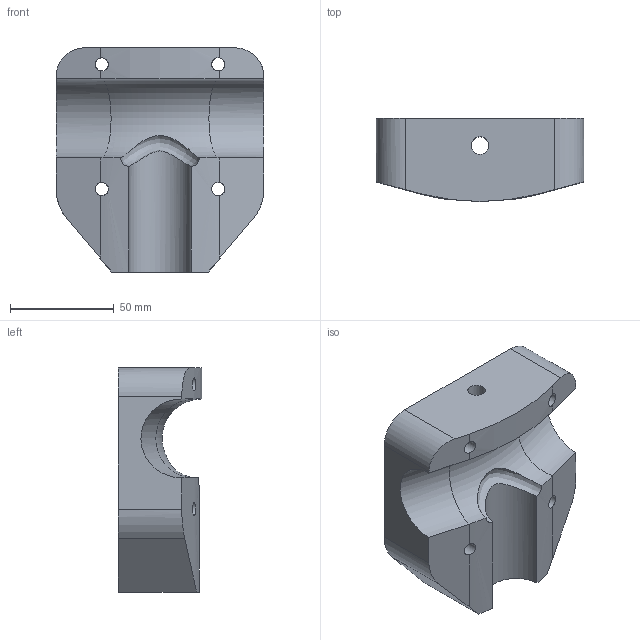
import math

import cadquery as cq

WIDTH = 100.0
DEPTH = 40.0
HEIGHT = 108.0

BEND_RADIUS = 110.0
BEND_ANGLE = math.radians(15.0)

TOP_CORNER_RADIUS = 14.0
LOWER_CORNER_Z = 32.0
LOWER_TAPER_ANGLE = math.radians(40.0)
LOWER_CORNER_RADIUS = 22.0

CROSS_BORE_RADIUS = 19.0
CROSS_BORE_Z = 74.0

BRANCH_BORE_RADIUS = 15.0

GROOVE_RADIUS = 4.0
GROOVE_OVERRUN = math.radians(25.0)
GROOVE_POINTS = 17

BOLT_DIAMETER = 6.3
BOLT_SPACING_X = 56.0
BOLT_SPACING_Z = 60.0
BOLT_CENTRE_Z = 70.0

VERTICAL_HOLE_DIAMETER = 8.5
VERTICAL_HOLE_Y = -13.0

HALF_WIDTH = WIDTH / 2
BEND_CENTRE_Y = BEND_RADIUS - DEPTH
BEND_END_X = BEND_RADIUS * math.sin(BEND_ANGLE)
BEND_END_Y = BEND_CENTRE_Y - BEND_RADIUS * math.cos(BEND_ANGLE)
BOTTOM_HALF_WIDTH = HALF_WIDTH - LOWER_CORNER_Z * math.tan(LOWER_TAPER_ANGLE)


def flat_y(x):
    """Y of the sloped front flat at a distance x from the middle."""
    return BEND_END_Y + (x - BEND_END_X) * math.tan(BEND_ANGLE)


def make_block():
    """Block with the curved front face, trimmed to the rounded and tapered outline."""
    side_y = flat_y(HALF_WIDTH)
    plan = (
        cq.Workplane("XY")
        .moveTo(-HALF_WIDTH, 0)
        .lineTo(-HALF_WIDTH, side_y)
        .lineTo(-BEND_END_X, BEND_END_Y)
        .threePointArc((0, -DEPTH), (BEND_END_X, BEND_END_Y))
        .lineTo(HALF_WIDTH, side_y)
        .lineTo(HALF_WIDTH, 0)
        .close()
        .extrude(HEIGHT)
    )
    outline = (
        cq.Workplane("XZ")
        .polyline([
            (-BOTTOM_HALF_WIDTH, 0),
            (BOTTOM_HALF_WIDTH, 0),
            (HALF_WIDTH, LOWER_CORNER_Z),
            (HALF_WIDTH, HEIGHT),
            (-HALF_WIDTH, HEIGHT),
            (-HALF_WIDTH, LOWER_CORNER_Z),
        ])
        .close()
        .extrude(DEPTH)
    )
    outline = outline.edges("|Y").edges(">Z").fillet(TOP_CORNER_RADIUS)
    lower_corners = cq.selectors.BoxSelector(
        (-WIDTH, -WIDTH, LOWER_CORNER_Z / 2), (WIDTH, WIDTH, HEIGHT / 2)
    )
    outline = outline.edges("|Y").edges(lower_corners).fillet(LOWER_CORNER_RADIUS)
    return plan.intersect(outline)


def make_cross_bore():
    """Round tube along the front face: straight, bent, straight."""
    end_x = WIDTH
    end_y = flat_y(end_x)
    path = (
        cq.Workplane("XY", origin=(0, 0, CROSS_BORE_Z))
        .moveTo(-end_x, end_y)
        .lineTo(-BEND_END_X, BEND_END_Y)
        .threePointArc((0, -DEPTH), (BEND_END_X, BEND_END_Y))
        .lineTo(end_x, end_y)
    )
    start = cq.Plane(
        origin=(-end_x, end_y, CROSS_BORE_Z),
        xDir=(math.sin(BEND_ANGLE), math.cos(BEND_ANGLE), 0),
        normal=(math.cos(BEND_ANGLE), -math.sin(BEND_ANGLE), 0),
    )
    return cq.Workplane(start).circle(CROSS_BORE_RADIUS).sweep(path)


def make_branch_bore():
    """Round bore from the bottom up to the middle of the cross bore."""
    return (
        cq.Workplane("XY")
        .center(0, -DEPTH)
        .circle(BRANCH_BORE_RADIUS)
        .extrude(CROSS_BORE_Z)
    )


def bore_meeting_point(angle):
    """Point where the two bores meet, at an angle around the branch bore axis."""
    x = BRANCH_BORE_RADIUS * math.cos(angle)
    y = BRANCH_BORE_RADIUS * math.sin(angle) - DEPTH
    depth_in_bore = BEND_RADIUS - math.hypot(x, y - BEND_CENTRE_Y)
    drop = math.sqrt(CROSS_BORE_RADIUS**2 - depth_in_bore**2)
    return cq.Vector(x, y, CROSS_BORE_Z - drop)


def make_groove():
    """Round groove swept along the saddle-shaped meeting line of the bores."""
    first_angle = -GROOVE_OVERRUN
    step = (math.pi + 2 * GROOVE_OVERRUN) / (GROOVE_POINTS - 1)
    points = [bore_meeting_point(first_angle + i * step) for i in range(GROOVE_POINTS)]
    curve = cq.Edge.makeSpline(points)
    start = cq.Plane(origin=curve.startPoint(), normal=curve.tangentAt(0))
    path = cq.Workplane(obj=cq.Wire.assembleEdges([curve]))
    return cq.Workplane(start).circle(GROOVE_RADIUS).sweep(path)


def make_bolt_holes():
    """Four holes from the front face through to the back."""
    return (
        cq.Workplane("XZ", origin=(0, 0, BOLT_CENTRE_Z))
        .rarray(BOLT_SPACING_X, BOLT_SPACING_Z, 2, 2)
        .circle(BOLT_DIAMETER / 2)
        .extrude(DEPTH)
    )


def make_vertical_hole():
    """Hole from the top face down through the bottom."""
    return (
        cq.Workplane("XY")
        .center(0, VERTICAL_HOLE_Y)
        .circle(VERTICAL_HOLE_DIAMETER / 2)
        .extrude(HEIGHT)
    )


result = (
    make_block()
    .cut(make_cross_bore())
    .cut(make_branch_bore())
    .cut(make_groove())
    .cut(make_bolt_holes())
    .cut(make_vertical_hole())
)